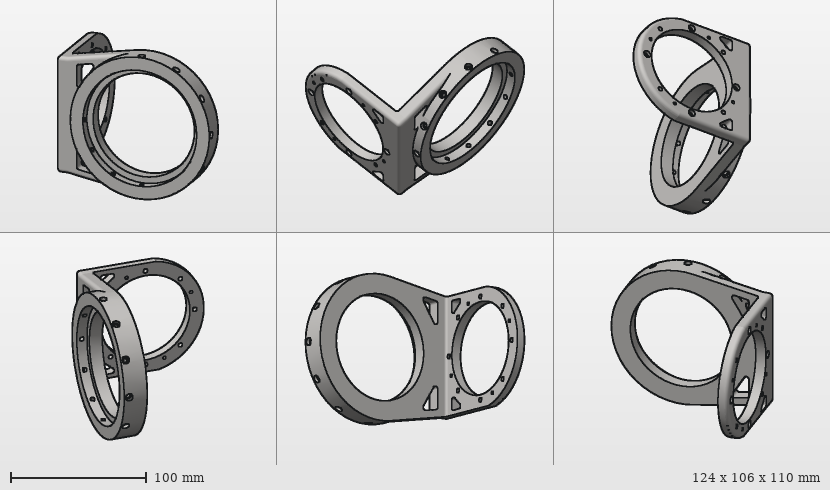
import cadquery as cq
import math


total_x = 124.0
total_y = 106.0

ring_radius = 110.0 / 2
ring_x = total_x - ring_radius
ring_depth = 18.2
ring_bore_radius = 40.0
recess_radius = 45.0
recess_depth = 8.0

plate_front_y = 8.0
side_plate_thickness = 8.0
half_height = 45.0
outer_fillet = 3.0
inner_fillet = 2.0

side_end_radius = 46.0
side_bore_radius = 35.0
side_bore_y = total_y - side_end_radius
side_bore_z = -0.2

side_bolt_radius = 38.8
side_screw_count = 4
quarter_turn = 360 / side_screw_count
pin_radius = 1.1

screw_radius = 1.6
head_radius = 2.7
head_depth = 3.0
ring_screw_count = 12
ring_screw_y = plate_front_y / 2

window_fillet = 2.0
side_window_y = 24.8
side_window_half_span = 41.3
side_window_length = 14.1
side_window_angle = 40.0
front_window_x = 16.0
front_window_margin = 5.8
front_window_angle = 148.6
front_window_ring_cut = 0.27

corner_run = ring_x - side_plate_thickness
corner_distance = math.hypot(corner_run, half_height)
tangent_angle = math.pi - math.atan2(half_height, corner_run) - math.acos(ring_radius / corner_distance)
tangent_x = ring_x + ring_radius * math.cos(tangent_angle)
tangent_z = ring_radius * math.sin(tangent_angle)
edge_slope = (tangent_z - half_height) / (tangent_x - side_plate_thickness)


def extrude_along_y(sketch, depth):
    """Extrude an XZ sketch toward +Y, against the normal of its workplane."""
    return sketch.extrude(-depth)


def ring_cylinder(radius, depth):
    sketch = cq.Workplane("XZ").center(ring_x, 0).circle(radius)
    return extrude_along_y(sketch, depth)


def side_cylinder(radius, center, depth):
    return cq.Workplane("YZ").center(*center).circle(radius).extrude(depth)


def make_side_plate():
    arc_top_y = side_bore_y + math.sqrt(side_end_radius**2 - (half_height - side_bore_z) ** 2)
    arc_bottom_y = side_bore_y + math.sqrt(side_end_radius**2 - (half_height + side_bore_z) ** 2)
    return (
        cq.Workplane("YZ")
        .moveTo(plate_front_y, -half_height)
        .lineTo(arc_bottom_y, -half_height)
        .threePointArc((total_y, side_bore_z), (arc_top_y, half_height))
        .lineTo(plate_front_y, half_height)
        .close()
        .extrude(side_plate_thickness)
    )


def make_front_plate():
    upper_outline = [
        (0, half_height),
        (side_plate_thickness, half_height),
        (tangent_x, tangent_z),
    ]
    lower_outline = [(x, -z) for x, z in reversed(upper_outline)]
    sketch = cq.Workplane("XZ", origin=(0, plate_front_y, 0)).polyline(upper_outline + lower_outline).close()
    return extrude_along_y(sketch, ring_depth - plate_front_y)


def make_bracket():
    bracket = make_side_plate().union(make_front_plate()).clean()

    inner_corner = cq.selectors.NearestToPointSelector((side_plate_thickness, ring_depth, 0))
    bracket = bracket.edges(inner_corner).fillet(inner_fillet)

    covered_edge = cq.selectors.NearestToPointSelector((tangent_x, plate_front_y, 0))
    rounded_edges = cq.selectors.InverseSelector(covered_edge)
    return bracket.faces("<X or <Y").edges(rounded_edges).fillet(outer_fillet)


def make_side_window(side):
    """Triangular window beside the side bore; side is +1 above it and -1 below it."""
    rim = side_window_half_span
    drop = side_window_length * math.tan(math.radians(side_window_angle))
    corners = [
        (side_window_y, rim),
        (side_window_y + side_window_length, rim),
        (side_window_y, rim - drop),
    ]
    return (
        cq.Workplane("YZ")
        .polyline([(y, side_bore_z + side * z) for y, z in corners])
        .close()
        .extrude(side_plate_thickness)
        .edges("|X")
        .fillet(window_fillet)
    )


def make_front_window(side):
    """Triangular window beside the ring, whose long edge shaves a small flat on the ring."""
    rim_start = (
        half_height
        + edge_slope * (front_window_x - side_plate_thickness)
        - front_window_margin * math.hypot(1, edge_slope)
    )

    normal_x = math.cos(math.radians(front_window_angle))
    normal_z = math.sin(math.radians(front_window_angle))
    flat_distance = ring_radius - front_window_ring_cut
    start_gap = flat_distance - normal_x * (front_window_x - ring_x)
    rim_length = (start_gap - normal_z * rim_start) / (normal_x + normal_z * edge_slope)

    corners = [
        (front_window_x, rim_start),
        (front_window_x + rim_length, rim_start + edge_slope * rim_length),
        (front_window_x, start_gap / normal_z),
    ]
    sketch = cq.Workplane("XZ").polyline([(x, side * z) for x, z in corners]).close()
    return extrude_along_y(sketch, ring_depth).edges("|Y").fillet(window_fillet)


def cut_side_holes(body):
    def bolt_point(angle):
        radians = math.radians(angle)
        return (
            side_bore_y + side_bolt_radius * math.cos(radians),
            side_bore_z + side_bolt_radius * math.sin(radians),
        )

    for i in range(side_screw_count):
        screw_angle = i * quarter_turn
        screw_point = bolt_point(screw_angle)
        plain_point = bolt_point(screw_angle + quarter_turn / 2)
        pin_point = bolt_point(screw_angle + quarter_turn / 4)
        body = body.cut(side_cylinder(screw_radius, screw_point, side_plate_thickness))
        body = body.cut(side_cylinder(head_radius, screw_point, head_depth))
        body = body.cut(side_cylinder(screw_radius, plain_point, side_plate_thickness))
        body = body.cut(side_cylinder(pin_radius, pin_point, side_plate_thickness))
    return body


def cut_ring_screws(body):
    head_floor = ring_radius - head_depth
    shank = (
        cq.Workplane("YZ", origin=(ring_bore_radius, ring_screw_y, 0))
        .circle(screw_radius)
        .extrude(ring_radius - ring_bore_radius)
    )
    head = cq.Workplane("YZ", origin=(head_floor, ring_screw_y, 0)).circle(head_radius).extrude(head_depth)
    cutter = shank.union(head)
    for i in range(ring_screw_count):
        angle = i * 360 / ring_screw_count
        body = body.cut(cutter.rotate((0, 0, 0), (0, 1, 0), angle).translate((ring_x, 0, 0)))
    return body


result = make_bracket().union(ring_cylinder(ring_radius, ring_depth))
result = result.cut(ring_cylinder(ring_bore_radius, ring_depth))
result = result.cut(ring_cylinder(recess_radius, recess_depth))
result = result.cut(side_cylinder(side_bore_radius, (side_bore_y, side_bore_z), side_plate_thickness))
for side in (1, -1):
    result = result.cut(make_side_window(side))
    result = result.cut(make_front_window(side))
result = cut_side_holes(result)
result = cut_ring_screws(result)